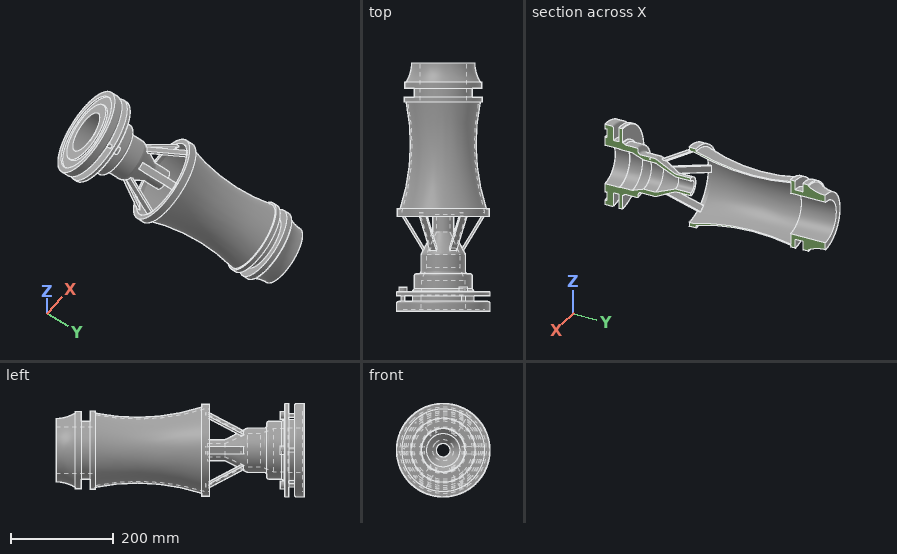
import cadquery as cq
import math

length = 483.5
pipe_wall = 11.0

flange_d = 183.0
flange_thick = 20.0
flange_round = 5.0
groove_outer_d = 161.0
groove_inner_d = 125.0
groove_depth = 4.0

plate_front = 30.5
plate_thick = 8.0
plate_back = plate_front + plate_thick
plate_edge = 1.0

bolt_count = 3
bolt_circle_r = 78.5
bolt_head_d = 16.0
bolt_head_height = 8.5
bolt_shank_d = 7.5

collar_d = 120.0
collar_end = 40.0
big_pipe_d = 113.0
big_pipe_end = 73.5
small_pipe_d = 87.0
cone_start = 111.3
cone_end = 155.0
jet_d = 41.0
jet_end = 188.5
body_round = 4.5
cone_blend_r = 7.0

inlet_bore_d = 86.0
inlet_bore_depth = 32.5
big_bore_d = 84.0
big_bore_end = 60.5
big_bore_taper = 24.5
small_bore_d = small_pipe_d - 2 * pipe_wall
jet_bore_d = 26.0

ring_d = 180.0
ring_front = 185.0
ring_back = 200.3
ring_bore_d = 161.0
ring_bore_end = 194.5
sleeve_front_r = 84.0
sleeve_waist_r = 64.5
sleeve_waist_y = 323.0
sleeve_back_r = 72.5
sleeve_wall = sleeve_front_r - ring_bore_d / 2
back_ring_d = 153.0
back_ring_front = 407.5
back_ring_back = 417.5

outlet_bore_d = big_pipe_d - 2 * pipe_wall
outlet_collar_d = 151.0
outlet_collar_front = 434.5
outlet_collar_back = 446.5
rim_foot_r = 72.5
rim_d = 124.0

strut_count = 6
strut_width = 15.0
strut_thick = 5.0
strut_angle = math.radians(31.3)
strut_foot_r = 39.0
strut_foot_y = 118.0
strut_embed = 5.0


def turned(profile):
    """Revolve a closed radius/Y profile about the Y axis."""
    return profile.close().revolve(360, (0, 0, 0), (0, 1, 0))


def disc(diameter, start, end, x=0.0, z=0.0):
    """Cylinder along Y from start to end."""
    plane = cq.Plane(origin=(x, start, z), xDir=(1, 0, 0), normal=(0, 1, 0))
    return cq.Workplane(plane).circle(diameter / 2).extrude(end - start)


def make_flange():
    blank = disc(flange_d, 0, flange_thick).faces(">Y").edges().fillet(flange_round)
    groove = disc(groove_outer_d, 0, groove_depth).cut(disc(groove_inner_d, 0, groove_depth))
    return blank.cut(groove)


def make_plate():
    return disc(flange_d, plate_front, plate_back).faces(">Y").edges().chamfer(plate_edge)


def make_inlet_body():
    big_r = big_pipe_d / 2
    small_r = small_pipe_d / 2
    jet_r = jet_d / 2
    bend = math.sqrt(0.5)

    body = turned(
        cq.Workplane("XY")
        .moveTo(0, 0)
        .lineTo(collar_d / 2, 0)
        .lineTo(collar_d / 2, collar_end)
        .lineTo(big_r, collar_end + body_round)
        .lineTo(big_r, big_pipe_end - body_round)
        .threePointArc(
            (big_r - body_round * (1 - bend), big_pipe_end - body_round * (1 - bend)),
            (big_r - body_round, big_pipe_end),
        )
        .lineTo(small_r + body_round, big_pipe_end)
        .threePointArc(
            (small_r + body_round * (1 - bend), big_pipe_end + body_round * (1 - bend)),
            (small_r, big_pipe_end + body_round),
        )
        .lineTo(small_r, cone_start)
        .lineTo(jet_r, cone_end)
        .lineTo(jet_r, jet_end)
        .lineTo(0, jet_end)
    )
    for y in (cone_start, cone_end):
        body = body.edges(cq.selectors.NearestToPointSelector((0, y, 0))).fillet(cone_blend_r)
    return body


def make_bore():
    return turned(
        cq.Workplane("XY")
        .moveTo(0, 0)
        .lineTo(inlet_bore_d / 2, 0)
        .lineTo(inlet_bore_d / 2, inlet_bore_depth)
        .lineTo(big_bore_d / 2, inlet_bore_depth)
        .lineTo(big_bore_d / 2, big_bore_end)
        .lineTo(small_bore_d / 2, big_bore_end + big_bore_taper)
        .lineTo(small_bore_d / 2, cone_start)
        .lineTo(jet_bore_d / 2, cone_end)
        .lineTo(jet_bore_d / 2, jet_end)
        .lineTo(0, jet_end)
    )


def make_sleeve():
    rim_r = rim_d / 2
    rim_height = length - outlet_collar_back
    rim_flare = rim_foot_r - rim_r
    rim_arc_r = (rim_height**2 + rim_flare**2) / (2 * rim_flare)
    rim_mid_r = rim_r + rim_arc_r - math.sqrt(rim_arc_r**2 - (rim_height / 2) ** 2)

    return turned(
        cq.Workplane("XY")
        .moveTo(ring_bore_d / 2, ring_front)
        .lineTo(ring_d / 2, ring_front)
        .lineTo(ring_d / 2, ring_back)
        .lineTo(sleeve_front_r, ring_back)
        .threePointArc((sleeve_waist_r, sleeve_waist_y), (sleeve_back_r, back_ring_front))
        .lineTo(back_ring_d / 2, back_ring_front)
        .lineTo(back_ring_d / 2, back_ring_back)
        .lineTo(big_pipe_d / 2, back_ring_back)
        .lineTo(big_pipe_d / 2, outlet_collar_front)
        .lineTo(outlet_collar_d / 2, outlet_collar_front)
        .lineTo(outlet_collar_d / 2, outlet_collar_back)
        .lineTo(rim_foot_r, outlet_collar_back)
        .threePointArc((rim_mid_r, length - rim_height / 2), (rim_r, length))
        .lineTo(outlet_bore_d / 2, length)
        .lineTo(outlet_bore_d / 2, back_ring_front)
        .lineTo(sleeve_back_r - sleeve_wall, back_ring_front)
        .threePointArc(
            (sleeve_waist_r - sleeve_wall, sleeve_waist_y), (ring_bore_d / 2, ring_bore_end)
        )
    )


def make_bolts():
    bolts = cq.Workplane("XY")
    for i in range(bolt_count):
        angle = math.pi + i * 2 * math.pi / bolt_count
        x = bolt_circle_r * math.cos(angle)
        z = bolt_circle_r * math.sin(angle)
        shank = disc(bolt_shank_d, flange_thick - flange_round, plate_back, x, z)
        head = disc(bolt_head_d, plate_back, plate_back + bolt_head_height, x, z)
        bolts = bolts.add(shank.union(head))
    return bolts.combine()


def make_struts():
    """Slanted flat bars, sunk a little into the cone and into the front ring."""
    along_r, along_y = math.sin(strut_angle), math.cos(strut_angle)
    run = (ring_bore_d / 2 - strut_foot_r) / along_r + strut_embed

    def point(distance, depth):
        return (
            strut_foot_r + distance * along_r - depth * along_y,
            strut_foot_y + distance * along_y + depth * along_r,
        )

    strut = (
        cq.Workplane("XY")
        .polyline([point(-strut_embed, 0), point(run, 0), point(run, strut_thick),
                   point(-strut_embed, strut_thick)])
        .close()
        .extrude(strut_width / 2, both=True)
    )
    struts = cq.Workplane("XY")
    for i in range(strut_count):
        struts = struts.add(strut.rotate((0, 0, 0), (0, 1, 0), i * 360 / strut_count))
    return struts.combine()


nozzle = make_inlet_body().union(make_flange()).union(make_plate())
result = nozzle.union(make_bolts()).union(make_sleeve()).union(make_struts()).cut(make_bore())